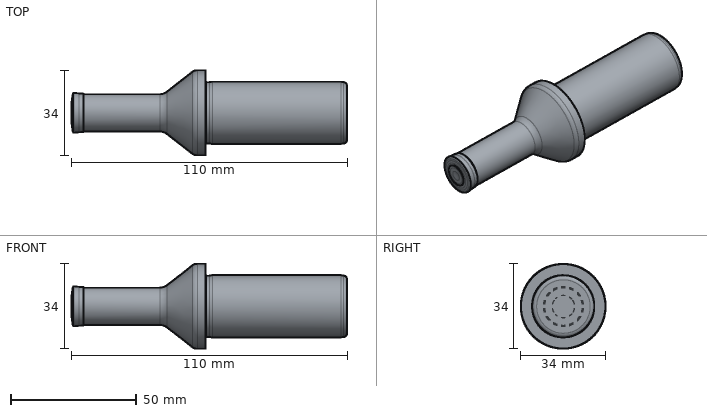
import cadquery as cq
import math

OVERALL_LENGTH = 110.0

head_length = 5.1
dimple_radius = 2.0
dimple_depth = 0.3
boss_face_radius = 3.5
boss_radius = 4.4
boss_base_radius = 4.5
boss_edge_drop = 0.07
boss_height = 0.2
face_ring_radius = 5.5
face_ring_x = 0.24
face_land_radius = 6.5
face_land_x = 0.38
face_edge_radius = 7.3
face_edge_x = 0.52
rim_radius = 8.0
rim_front_x = 0.9
rim_back_x = 1.1
waist_radius = 7.8
waist_x = 3.1
head_back_radius = 7.7
back_chamfer_x = 4.7

neck_radius = 15.0 / 2
neck_end_x = 35.3
cone_angle = math.radians(38.0)
neck_blend_radius = 4.6
flange_blend_radius = 3.1
flange_radius = 34.0 / 2
flange_back_x = 53.7
flange_chamfer = 0.2

shank_radius = 25.0 / 2
relief_radius = 24.5 / 2
relief_start_x = 53.9
relief_end_x = 55.0
relief_runout_x = 56.2
end_taper_x = 107.4
end_arc_x = 108.4
end_arc_radius = OVERALL_LENGTH - end_arc_x
end_taper_drop = 0.16


def revolve_profile(profile):
    """Turn a closed half-section, drawn as (x, radius), about the X axis."""
    return profile.close().revolve(360, (0, 0, 0), (1, 0, 0))


def make_head():
    """Short flared head with a stepped front face and a conical centre dimple."""
    outline = [
        (dimple_depth, 0),
        (0, dimple_radius),
        (0, boss_face_radius),
        (boss_edge_drop, boss_radius),
        (boss_height, boss_base_radius),
        (face_ring_x, face_ring_radius),
        (face_land_x, face_land_radius),
        (face_edge_x, face_edge_radius),
        (rim_front_x, rim_radius),
        (rim_back_x, rim_radius),
        (waist_x, waist_radius),
        (back_chamfer_x, head_back_radius),
        (head_length, neck_radius),
        (head_length, 0),
    ]
    return revolve_profile(cq.Workplane("XY").polyline(outline))


def blend_point(center, radius, angle):
    """Point on a blend arc, with the angle measured from the +radius direction."""
    return (center[0] + radius * math.sin(angle), center[1] + radius * math.cos(angle))


def make_holder():
    """Neck, blended cone, flange, relief groove and shank."""
    neck_center = (neck_end_x, neck_radius + neck_blend_radius)
    neck_arc_mid = blend_point(neck_center, -neck_blend_radius, -cone_angle / 2)
    cone_start = blend_point(neck_center, -neck_blend_radius, -cone_angle)

    flange_center_radius = flange_radius - flange_blend_radius
    cone_end_radius = flange_center_radius + flange_blend_radius * math.cos(cone_angle)
    cone_length = (cone_end_radius - cone_start[1]) / math.tan(cone_angle)
    cone_end = (cone_start[0] + cone_length, cone_end_radius)
    flange_start_x = cone_end[0] + flange_blend_radius * math.sin(cone_angle)
    flange_center = (flange_start_x, flange_center_radius)
    flange_arc_mid = blend_point(flange_center, flange_blend_radius, -cone_angle / 2)

    end_arc_top_radius = shank_radius - end_taper_drop
    end_center = (end_arc_x, end_arc_top_radius - end_arc_radius)
    end_arc_mid = blend_point(end_center, end_arc_radius, math.pi / 4)

    profile = (
        cq.Workplane("XY")
        .moveTo(head_length, 0)
        .lineTo(head_length, neck_radius)
        .lineTo(neck_end_x, neck_radius)
        .threePointArc(neck_arc_mid, cone_start)
        .lineTo(*cone_end)
        .threePointArc(flange_arc_mid, (flange_start_x, flange_radius))
        .lineTo(flange_back_x - flange_chamfer, flange_radius)
        .lineTo(flange_back_x, flange_radius - flange_chamfer)
        .lineTo(flange_back_x, shank_radius)
        .lineTo(relief_start_x, relief_radius)
        .lineTo(relief_end_x, relief_radius)
        .lineTo(relief_runout_x, shank_radius)
        .lineTo(end_taper_x, shank_radius)
        .lineTo(end_arc_x, end_arc_top_radius)
        .threePointArc(end_arc_mid, (OVERALL_LENGTH, end_center[1]))
        .lineTo(OVERALL_LENGTH, 0)
    )
    return revolve_profile(profile)


head = make_head()
holder = make_holder()

result = cq.Compound.makeCompound([head.val(), holder.val()])